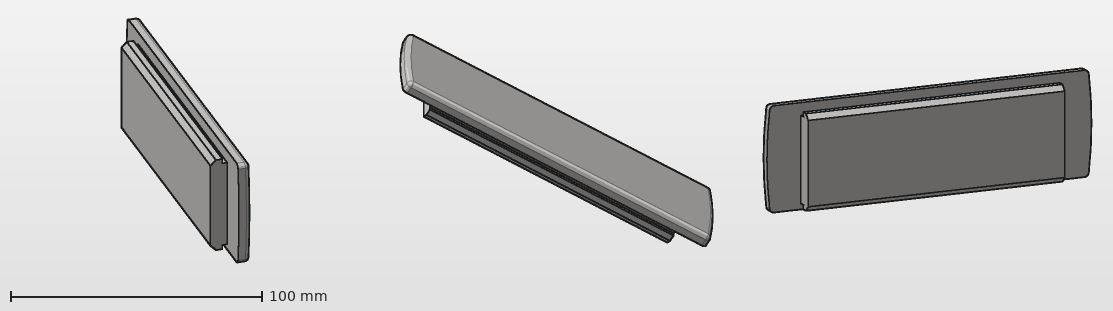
import cadquery as cq

plate_length = 141.72
plate_height = 43.97
plate_thickness = 5.0
end_bow_radius = 175.0
corner_radius = 2.0
rim_radius = 2.0

block_length = 112.0
block_height = 40.0
block_depth = 7.0
block_center_z = -1.45
block_chamfer = 2.25
neck_height = 36.2
neck_depth = 2.0


def make_plate():
    """Plate with straight long sides, bowed ends and a rounded back rim."""
    half_length = plate_length / 2
    half_height = plate_height / 2
    bow_depth = end_bow_radius - (end_bow_radius**2 - half_height**2) ** 0.5
    corner_x = half_length - bow_depth
    plate = (
        cq.Workplane("XZ")
        .moveTo(-corner_x, -half_height)
        .lineTo(corner_x, -half_height)
        .threePointArc((half_length, 0), (corner_x, half_height))
        .lineTo(-corner_x, half_height)
        .threePointArc((-half_length, 0), (-corner_x, -half_height))
        .close()
        .extrude(-plate_thickness)
    )
    plate = plate.edges("|Y").fillet(corner_radius)
    return plate.faces(">Y").edges().fillet(rim_radius)


def make_block():
    """Block with chamfered long front edges, standing on its neck."""
    head_depth = block_depth - neck_depth
    head = (
        cq.Workplane("XY")
        .box(block_length, head_depth, block_height)
        .faces("<Y")
        .edges("|X")
        .chamfer(block_chamfer)
        .translate((0, -neck_depth - head_depth / 2, block_center_z))
    )
    neck = (
        cq.Workplane("XY")
        .box(block_length, neck_depth, neck_height)
        .translate((0, -neck_depth / 2, block_center_z))
    )
    return head.union(neck)


result = make_plate().union(make_block())